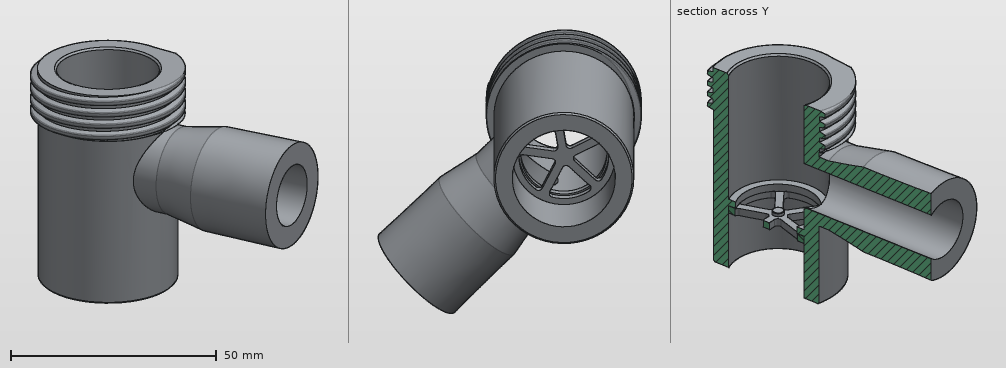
import cadquery as cq
import math

body_d = 34.0
bore_d = 25.0
height = 55.0
bore_chamfer = 0.5
foot_chamfer = 0.4

neck_height = 12.0
neck_z = height - neck_height
thread_root_d = 34.3
thread_crest_d = 37.7
thread_pitch = 3.0
thread_base_width = 2.0
thread_crest_width = 1.1
thread_crest_fillet = 0.3
thread_embed = 0.2
thread_end_center = 54.3
thread_turns_below = 5
thread_end_angle = 77.0
runout_start_angle = 58.0

branch_z = 32.0
branch_root_d = 21.85
branch_cone_d = 26.0
branch_end_d = 26.5
branch_bore_d = 15.4
branch_cone_start = 19.35
branch_cone_end = 30.0
branch_end_x = 51.0

shoulder_z = 17.45
shoulder_thickness = 2.0
shoulder_opening_d = 21.0

spider_thickness = 2.0
spider_z = shoulder_z - spider_thickness
rim_inner_d = 21.85
spoke_count = 5
spoke_width = 2.0
window_fillet = 1.0
hub_boss_d = 3.0
hub_boss_height = 1.0
hub_boss_chamfer = 0.15

spoke_pitch_angle = 360 / spoke_count
first_window_angle = -90 + spoke_pitch_angle / 2


def cylinder(diameter, bottom_z, length):
    return cq.Workplane("XY").workplane(offset=bottom_z).circle(diameter / 2).extrude(length)


def polar_point(radius, degrees):
    angle = math.radians(degrees)
    return (radius * math.cos(angle), radius * math.sin(angle))


def make_thread():
    """Right-handed ridge, cut level with both ends of the neck and run out at its upper end."""
    root_r = thread_root_d / 2
    crest_r = thread_crest_d / 2
    foot_r = root_r - thread_embed
    start_z = thread_end_center - thread_turns_below * thread_pitch
    helix_height = (thread_turns_below + thread_end_angle / 360) * thread_pitch
    path = cq.Workplane(cq.Wire.makeHelix(thread_pitch, helix_height, root_r)).translate((0, 0, start_z))

    half_base = thread_base_width / 2
    half_crest = thread_crest_width / 2
    profile = (
        cq.Sketch()
        .polygon([
            (foot_r, -half_base),
            (crest_r, -half_crest),
            (crest_r, half_crest),
            (foot_r, half_base),
            (foot_r, -half_base),
        ])
        .vertices(">X")
        .fillet(thread_crest_fillet)
    )
    ridge = (
        cq.Workplane("XZ", origin=(0, 0, start_z)).placeSketch(profile).sweep(path, isFrenet=True)
    )

    gap_below_last_turn = (thread_pitch - thread_base_width) / 2
    last_turn_z = thread_end_center + thread_pitch * runout_start_angle / 360
    runout_z = last_turn_z - half_base - gap_below_last_turn
    runout = (
        cq.Workplane("XY")
        .workplane(offset=runout_z)
        .polyline([
            polar_point(crest_r, runout_start_angle),
            polar_point(root_r, thread_end_angle),
            polar_point(root_r, thread_end_angle + 10),
            polar_point(2 * crest_r, thread_end_angle + 10),
            polar_point(2 * crest_r, runout_start_angle),
        ])
        .close()
        .extrude(height)
    )
    neck_envelope = cylinder(2 * thread_crest_d, neck_z, neck_height)
    return ridge.cut(runout).intersect(neck_envelope)


def make_branch():
    """Cylindrical root, cone and slightly tapered end, turned about the branch axis."""
    return (
        cq.Workplane("XZ")
        .polyline([
            (0, branch_z),
            (0, branch_z + branch_root_d / 2),
            (branch_cone_start, branch_z + branch_root_d / 2),
            (branch_cone_end, branch_z + branch_cone_d / 2),
            (branch_end_x, branch_z + branch_end_d / 2),
            (branch_end_x, branch_z),
        ])
        .close()
        .revolve(360, (0, branch_z, 0), (1, branch_z, 0))
    )


def make_housing():
    tube = cylinder(body_d, 0, neck_z).faces("<Z").edges().chamfer(foot_chamfer)
    neck = cylinder(thread_root_d, neck_z, neck_height)
    outside = neck.union(make_thread()).union(tube).union(make_branch())

    shoulder_top_z = shoulder_z + shoulder_thickness
    lower_bore = cylinder(bore_d, 0, shoulder_z)
    shoulder_opening = cylinder(shoulder_opening_d, shoulder_z, shoulder_thickness)
    upper_bore = cylinder(bore_d, shoulder_top_z, height - shoulder_top_z)
    bore_mouth = (
        cq.Workplane("XY")
        .workplane(offset=height)
        .circle(bore_d / 2 + bore_chamfer)
        .workplane(offset=-bore_chamfer)
        .circle(bore_d / 2)
        .loft()
    )
    branch_bore = (
        cq.Workplane("YZ").center(0, branch_z).circle(branch_bore_d / 2).extrude(branch_end_x)
    )
    for opening in (lower_bore, shoulder_opening, upper_bore, bore_mouth, branch_bore):
        outside = outside.cut(opening)
    return outside


def make_window(middle_angle):
    """Sector opening between two neighbouring spokes, rounded at its three corners."""
    half_angle = spoke_pitch_angle / 2
    apex_radius = spoke_width / 2 / math.sin(math.radians(half_angle))
    reach = rim_inner_d
    far_x = apex_radius + reach * math.cos(math.radians(half_angle))
    far_y = reach * math.sin(math.radians(half_angle))
    wedge = (
        cq.Workplane("XY")
        .workplane(offset=spider_z)
        .polyline([(apex_radius, 0), (far_x, -far_y), (far_x, far_y)])
        .close()
        .extrude(spider_thickness)
    )
    window = wedge.intersect(cylinder(rim_inner_d, spider_z, spider_thickness))
    return window.edges("|Z").fillet(window_fillet).rotate((0, 0, 0), (0, 0, 1), middle_angle)


def make_spider():
    disc = cylinder(bore_d, spider_z, spider_thickness)
    for index in range(spoke_count):
        disc = disc.cut(make_window(first_window_angle + index * spoke_pitch_angle))
    boss = cylinder(hub_boss_d, shoulder_z, hub_boss_height).faces(">Z").chamfer(hub_boss_chamfer)
    return disc.union(boss)


housing = make_housing()
spider = make_spider()

result = cq.Compound.makeCompound([housing.solids().val(), spider.solids().val()])